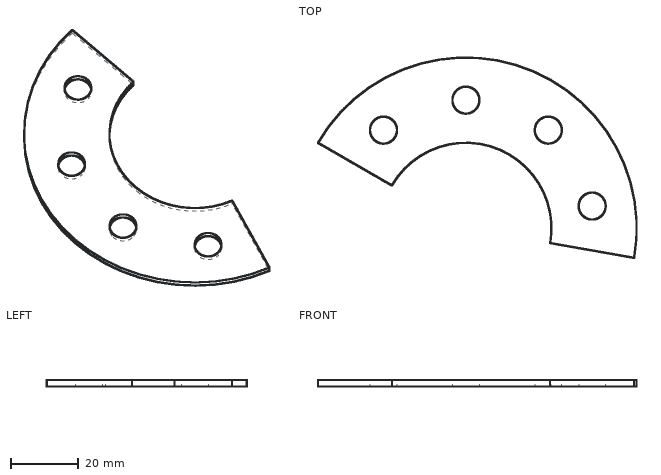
import cadquery as cq
import math

overall_length = 94.8
thickness = 2.0
start_angle = -10.0
end_angle = 150.0

outer_radius = overall_length / (1 - math.cos(math.radians(end_angle)))
inner_radius = outer_radius / 2

hole_count = 4
hole_diameter = 8.0
hole_circle_radius = (outer_radius + inner_radius) / 2
hole_pitch_angle = (end_angle - start_angle) / hole_count


def polar_point(radius, angle):
    """Point at a radius and an angle in degrees about the ring centre."""
    return (radius * math.cos(math.radians(angle)), radius * math.sin(math.radians(angle)))


def ring_sector():
    middle_angle = (start_angle + end_angle) / 2
    return (
        cq.Workplane("XY")
        .moveTo(*polar_point(inner_radius, start_angle))
        .lineTo(*polar_point(outer_radius, start_angle))
        .threePointArc(polar_point(outer_radius, middle_angle), polar_point(outer_radius, end_angle))
        .lineTo(*polar_point(inner_radius, end_angle))
        .threePointArc(polar_point(inner_radius, middle_angle), polar_point(inner_radius, start_angle))
        .close()
        .extrude(thickness)
    )


def through_holes():
    centres = [
        polar_point(hole_circle_radius, start_angle + (index + 0.5) * hole_pitch_angle)
        for index in range(hole_count)
    ]
    return cq.Workplane("XY").pushPoints(centres).circle(hole_diameter / 2).extrude(thickness)


result = ring_sector().cut(through_holes())